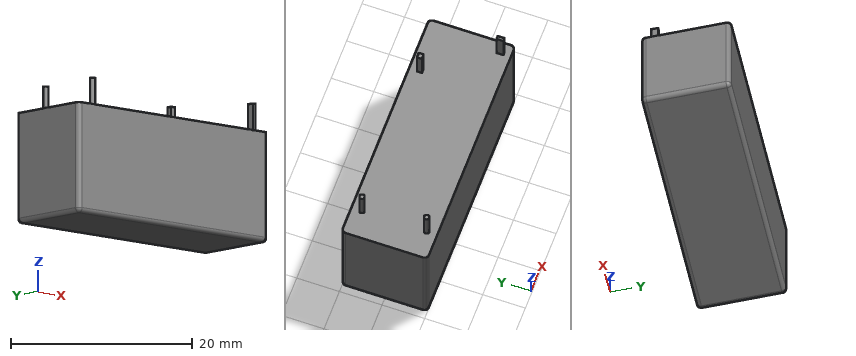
import cadquery as cq

length = 28.5
width = 10.1
total_height = 15.5

pin_height = 3.2
case_height = total_height - pin_height
edge_radius = 0.5

row_y = 3.8
round_pin_x = -11.0
round_pin_diameter = 0.6
square_pin_x = 7.9
square_pin_side = 0.6
flat_pin_x = 12.97
flat_pin_thickness = 0.4
flat_pin_width = 0.8


def make_case():
    """Box standing on Z = 0 with every edge rounded except the top rim."""
    box = cq.Workplane("XY").box(length, width, case_height, centered=(True, True, False))
    return box.edges("|Z or <Z").fillet(edge_radius)


def top_plane():
    return cq.Workplane("XY").workplane(offset=case_height)


def round_pin(x, y):
    return top_plane().center(x, y).circle(round_pin_diameter / 2).extrude(pin_height)


def rectangular_pin(x, y, size_x, size_y):
    return top_plane().center(x, y).rect(size_x, size_y).extrude(pin_height)


result = make_case()
for side in (-1, 1):
    result = result.union(round_pin(round_pin_x, side * row_y))
result = result.union(rectangular_pin(square_pin_x, row_y, square_pin_side, square_pin_side))
result = result.union(rectangular_pin(flat_pin_x, -row_y, flat_pin_thickness, flat_pin_width))